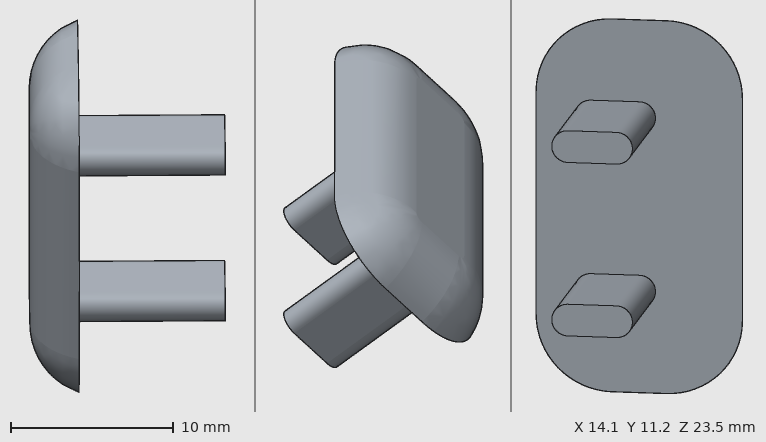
import cadquery as cq

cap_height = 23.45
cap_width = 12.85
cap_thickness = 3.0
rim_corner_radius = 4.73
dome_radius = 4.45

prong_length = 9.0
prong_width = 5.02
prong_thickness = 2.0
prong_side_offset = 1.5
prong_spacing = 10.9
prong_pair_rise = 0.12

turn_angle = -60.0


def make_cap():
    """Round over a larger block, then keep only the part in front of the rim plane."""
    rim_drop = dome_radius - cap_thickness
    overhang = dome_radius - (dome_radius**2 - rim_drop**2) ** 0.5
    block_width = cap_width + 2 * overhang
    block_height = cap_height + 2 * overhang
    block_depth = dome_radius + rim_drop
    back = block_depth - cap_thickness
    block = (
        cq.Workplane("XZ", origin=(0, back, 0))
        .rect(block_width, block_height)
        .extrude(block_depth)
        .edges("|Y")
        .fillet(rim_corner_radius + overhang)
        .faces("<Y")
        .edges()
        .fillet(dome_radius)
    )
    behind_rim = (
        cq.Workplane("XZ")
        .rect(2 * block_width, 2 * block_height)
        .extrude(-2 * block_depth)
    )
    return block.cut(behind_rim)


def make_prong(height):
    """One prong reaching back from the rim plane, rooted inside the cap."""
    root_depth = cap_thickness / 2
    return (
        cq.Workplane("XZ", origin=(prong_side_offset, -root_depth, height))
        .slot2D(prong_width, prong_thickness)
        .extrude(-(prong_length + root_depth))
    )


part = make_cap()
for side in (-1, 1):
    part = part.union(make_prong(prong_pair_rise + side * prong_spacing / 2))

result = part.rotate((0, 0, 0), (0, 0, 1), turn_angle)